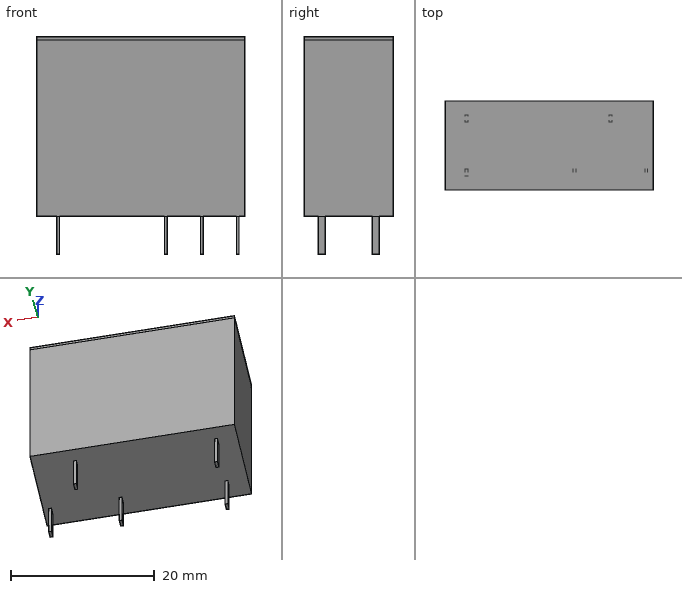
import cadquery as cq

case_length = 29.0
case_width = 12.4
case_height = 25.0
lid_thickness = 0.5
housing_height = case_height - lid_thickness

pin_thickness = 0.4
pin_width = 1.0
pin_length = 5.3

row_spacing = 7.5
front_row_y = -row_spacing / 2
back_row_y = row_spacing / 2
contact_pitch = 5.0
coil_pin_x = -11.5
first_contact_x = 3.5
middle_contact_x = first_contact_x + contact_pitch
last_contact_x = middle_contact_x + contact_pitch

pin_places = [
    (coil_pin_x, front_row_y),
    (coil_pin_x, back_row_y),
    (first_contact_x, front_row_y),
    (middle_contact_x, back_row_y),
    (last_contact_x, front_row_y),
]


def plate(thickness, bottom_z):
    """Rectangular block with the case outline, standing on bottom_z."""
    outline = cq.Workplane("XY").workplane(offset=bottom_z).rect(case_length, case_width)
    return outline.extrude(thickness)


def make_housing():
    """Solid housing block with its terminal pins."""
    pins = cq.Workplane("XY").pushPoints(pin_places)
    pins = pins.rect(pin_thickness, pin_width).extrude(-pin_length)
    return plate(housing_height, 0).union(pins)


def make_lid():
    """Thin flat lid resting on top of the housing."""
    return plate(lid_thickness, housing_height)


housing = make_housing()
lid = make_lid()

result = cq.Compound.makeCompound([housing.solids().val(), lid.val()])